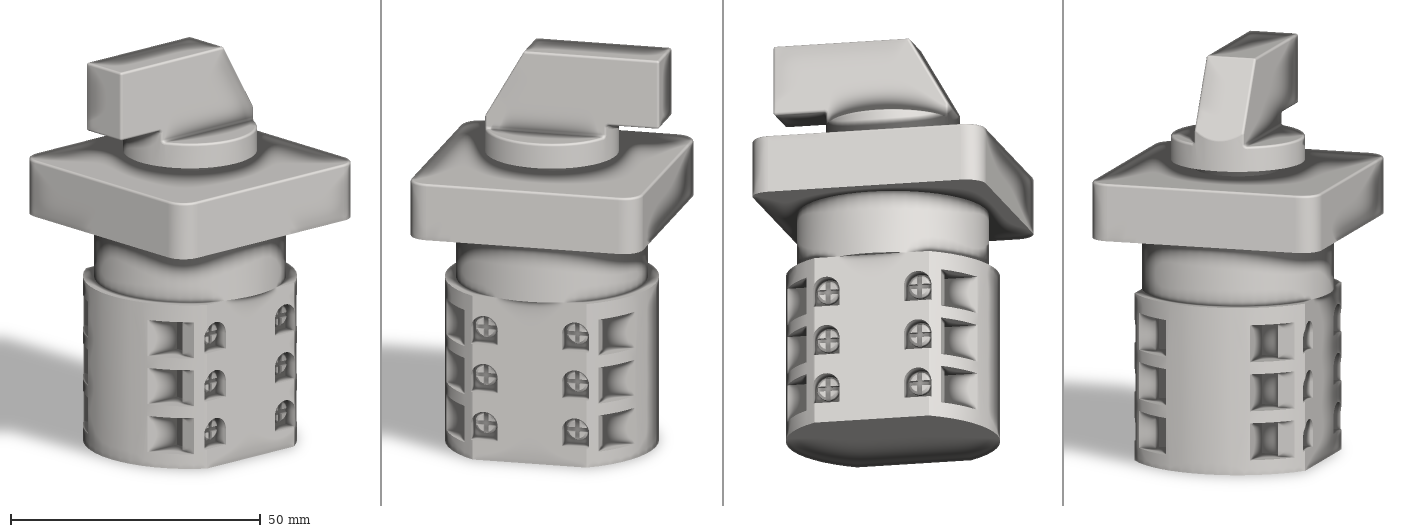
import cadquery as cq
import math

total_height = 82.0
body_top = 34.1
collar_top = 46.8
plate_top = 58.5
neck_top = 60.35
dial_top = 65.4

body_radius = 21.5
body_half_width = 17.95

collar_radius = 19.3
plate_side = 48.0
plate_corner_radius = 4.1
neck_radius = 8.45
edge_round = 0.5

dial_radius = 13.45
grip_width = 10.4
grip_front = -23.45
grip_underside = 67.8
ramp_top_y = 4.5
ramp_angle = 60.0

tier_count = 3
tier_pitch = 10.0
first_tier = 6.8
tier_levels = [first_tier + tier_pitch * tier for tier in range(tier_count)]
column_signs = [(sx, sy) for sx in (-1, 1) for sy in (-1, 1)]

wire_size = 7.55
wire_inner_x = 8.85
wire_outer_x = wire_inner_x + wire_size
wire_step_x = 12.9
wire_deep_y = 11.65
wire_shallow_y = 13.8

well_y = 9.4
well_radius = 2.8
well_depth = 3.0
well_floor_drop = 3.3
well_rise = 0.5

screw_radius = 2.3
screw_height = 1.5
screw_chamfer = 0.5
cross_width = 1.0
cross_depth = 1.0


def cylinder(radius, bottom, top):
    return cq.Workplane("XY").workplane(offset=bottom).circle(radius).extrude(top - bottom)


def box_between(x0, x1, y0, y1, z0, z1):
    """Box spanning the given ranges; each pair may come in either order."""
    size = (abs(x1 - x0), abs(y1 - y0), abs(z1 - z0))
    centre = ((x0 + x1) / 2, (y0 + y1) / 2, (z0 + z1) / 2)
    return cq.Workplane("XY").box(*size).translate(centre)


def make_plate():
    plate = (
        cq.Workplane("XY").workplane(offset=collar_top)
        .rect(plate_side, plate_side).extrude(plate_top - collar_top)
        .edges("|Z").fillet(plate_corner_radius)
    )
    return plate.faces(">Z").edges().fillet(edge_round)


def make_handle():
    """Dial with a grip that slopes up from its back edge and overhangs its front."""
    ramp_slope = math.tan(math.radians(ramp_angle))
    ramp_bottom_y = ramp_top_y + (total_height - neck_top) / ramp_slope
    profile = [
        (grip_front, grip_underside),
        (grip_front, total_height),
        (ramp_top_y, total_height),
        (ramp_bottom_y, neck_top),
        (-dial_radius, neck_top),
        (-dial_radius, grip_underside),
    ]
    grip = cq.Workplane("YZ").polyline(profile).close().extrude(grip_width / 2, both=True)
    overhang = box_between(-grip_width, grip_width, grip_front, 0, grip_underside, total_height)
    envelope = cylinder(dial_radius, neck_top, total_height)
    grip = grip.intersect(envelope.union(overhang))
    handle = cylinder(dial_radius, neck_top, dial_top).union(grip)
    above_dial_side = cq.selectors.BoxSelector(
        (-plate_side, -plate_side, dial_top - edge_round),
        (plate_side, plate_side, total_height + edge_round),
    )
    return handle.edges(above_dial_side).fillet(edge_round)


def make_wire_opening(sx, sy, level):
    bottom = level - wire_size / 2
    top = level + wire_size / 2
    outside = sy * body_radius
    shallow = box_between(
        sx * wire_step_x, sx * wire_outer_x, sy * wire_shallow_y, outside, bottom, top
    )
    deep = box_between(
        sx * wire_inner_x, sx * wire_step_x, sy * wire_deep_y, outside, bottom, top
    )
    return shallow.union(deep)


def make_screw_well(sx, sy, level):
    """Well cut inward from the flat, leaving the screw head standing at its back."""
    z = level + well_rise
    back = sx * (body_half_width - well_depth)
    outside = sx * body_radius
    y = sy * well_y
    inward = cq.Workplane("YZ", origin=(back, y, z))
    well = inward.circle(well_radius).extrude(outside - back)
    well = well.union(
        box_between(back, outside, y - well_radius, y + well_radius, z - well_floor_drop, z)
    )
    head = inward.circle(screw_radius).extrude(sx * screw_height)
    head = head.faces(">X" if sx > 0 else "<X").chamfer(screw_chamfer)
    cross_floor = cq.Workplane("YZ", origin=(back + sx * (screw_height - cross_depth), y, z))
    cross = (
        cross_floor.rect(cross_width, 2 * screw_radius).extrude(sx * cross_depth)
        .union(cross_floor.rect(2 * screw_radius, cross_width).extrude(sx * cross_depth))
    )
    return well.cut(head.cut(cross))


def make_body():
    flats = box_between(
        -body_half_width, body_half_width, -body_radius, body_radius, 0, body_top
    )
    body = cylinder(body_radius, 0, body_top).intersect(flats)
    for level in tier_levels:
        for sx, sy in column_signs:
            body = body.cut(make_wire_opening(sx, sy, level))
            body = body.cut(make_screw_well(sx, sy, level))
    return body


result = (
    make_body()
    .union(cylinder(collar_radius, body_top, collar_top))
    .union(make_plate())
    .union(cylinder(neck_radius, plate_top, neck_top))
    .union(make_handle())
)